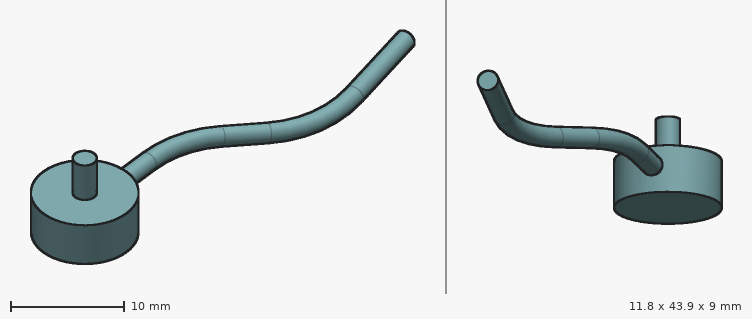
import cadquery as cq
import math

HOUSING_DIAMETER = 9.55
HOUSING_HEIGHT = 4.3

PIN_DIAMETER = 2.15
PIN_PROJECTION = 3.8
PIN_SEAT_DEPTH = HOUSING_HEIGHT / 2

CABLE_DIAMETER = 1.85
CABLE_HEIGHT = 2.5
BEND_RADIUS = 15.0
CABLE_START = cq.Vector(0, HOUSING_DIAMETER / 4, CABLE_HEIGHT)
FIRST_CORNER = cq.Vector(0, 13.0, CABLE_HEIGHT)
SECOND_CORNER = cq.Vector(6.65, 25.05, -0.2)
CABLE_END = cq.Vector(4.7, 39.0, 0.55)


def bend_points(before, corner, after):
    """Start, middle and end of the arc that rounds a corner, tangent to both of its legs."""
    to_before = (before - corner).normalized()
    to_after = (after - corner).normalized()
    half_angle = to_before.getAngle(to_after) / 2
    tangent_length = BEND_RADIUS / math.tan(half_angle)
    corner_to_arc = BEND_RADIUS / math.sin(half_angle) - BEND_RADIUS
    start = corner + to_before * tangent_length
    middle = corner + (to_before + to_after).normalized() * corner_to_arc
    end = corner + to_after * tangent_length
    return start, middle, end


def make_cable():
    first_bend = bend_points(CABLE_START, FIRST_CORNER, SECOND_CORNER)
    second_bend = bend_points(FIRST_CORNER, SECOND_CORNER, CABLE_END)
    path = cq.Wire.assembleEdges([
        cq.Edge.makeLine(CABLE_START, first_bend[0]),
        cq.Edge.makeThreePointArc(*first_bend),
        cq.Edge.makeLine(first_bend[2], second_bend[0]),
        cq.Edge.makeThreePointArc(*second_bend),
        cq.Edge.makeLine(second_bend[2], CABLE_END),
    ])
    start_plane = cq.Plane(origin=CABLE_START.toTuple(), xDir=(1, 0, 0), normal=(0, 1, 0))
    return cq.Workplane(start_plane).circle(CABLE_DIAMETER / 2).sweep(path)


def make_housing():
    """Can and its cable as one solid, with the pin hole in its top."""
    can = cq.Workplane("XY").circle(HOUSING_DIAMETER / 2).extrude(HOUSING_HEIGHT)
    pin_hole = (
        cq.Workplane("XY")
        .workplane(offset=HOUSING_HEIGHT - PIN_SEAT_DEPTH)
        .circle(PIN_DIAMETER / 2)
        .extrude(PIN_SEAT_DEPTH)
    )
    return can.union(make_cable()).cut(pin_hole)


def make_pin():
    """Plain round pin standing on the floor of its hole."""
    return (
        cq.Workplane("XY")
        .workplane(offset=HOUSING_HEIGHT - PIN_SEAT_DEPTH)
        .circle(PIN_DIAMETER / 2)
        .extrude(PIN_SEAT_DEPTH + PIN_PROJECTION)
    )


housing = make_housing()
pin = make_pin()

result = cq.Compound.makeCompound([housing.val(), pin.val()])